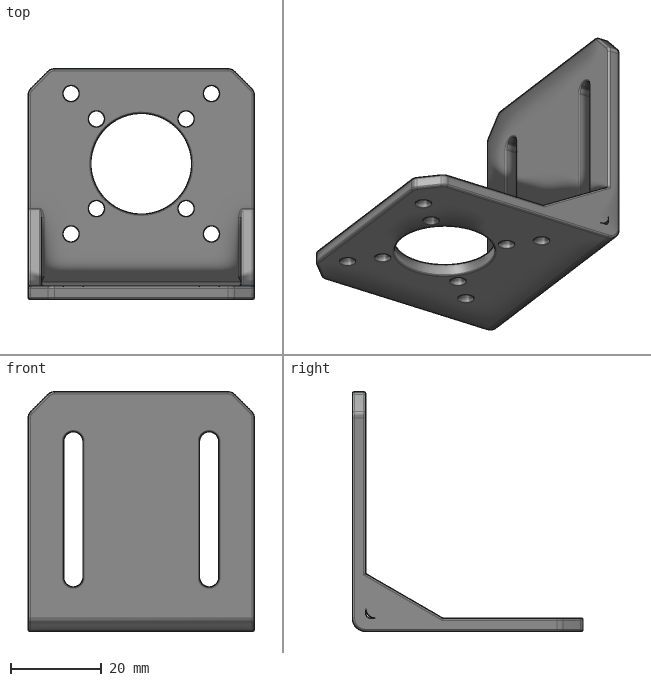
import cadquery as cq
import math

WIDTH = 50.0
DEPTH = 51.0
HEIGHT = 53.0
SHEET = 3.0

BEND_INNER_RADIUS = 1.0
BEND_OUTER_RADIUS = SHEET
CORNER_CUT = 5.0
CORNER_RADIUS = 2.0

EDGE_RADIUS = 0.5

GUSSET_THICKNESS = 3.0
GUSSET_LENGTH = 17.0
GUSSET_ANGLE = 30.0
GUSSET_HEIGHT = GUSSET_LENGTH * math.tan(math.radians(GUSSET_ANGLE))
GUSSET_CORNER_RADIUS = 2.0

MOTOR_Y = 30.0
BORE_DIAMETER = 22.2
BORE_RIM_RADIUS = 0.3
SCREW_DIAMETER = 3.5
SCREW_RIM_RADIUS = 0.1
BOLT_CIRCLE_DIAMETER = 28.0
INNER_SCREW_SPACING = BOLT_CIRCLE_DIAMETER / math.sqrt(2)
OUTER_SCREW_SPACING = 31.0

SLOT_SPACING = 30.0
SLOT_WIDTH = 4.2
SLOT_BOTTOM = 9.9
SLOT_TOP = 44.1
SLOT_RIM_RADIUS = 0.3

TOLERANCE = 0.001


def near(a, b):
    """Whether two lengths are equal within the tolerance."""
    return abs(a - b) < TOLERANCE


def select_edges(body, test):
    """The edges of the body whose bounding box passes the test."""
    return body.newObject([edge for edge in body.edges().vals() if test(edge.BoundingBox())])


def bent_sheet():
    """The plain L-shaped sheet, with rounded bend, across the full width."""
    profile = (
        cq.Workplane("YZ", origin=(-WIDTH / 2, 0, 0))
        .polyline([(0, 0), (DEPTH, 0), (DEPTH, SHEET), (SHEET, SHEET), (SHEET, HEIGHT), (0, HEIGHT)])
        .close()
        .extrude(WIDTH)
    )
    outer_bend = cq.selectors.NearestToPointSelector((0, 0, 0))
    inner_bend = cq.selectors.NearestToPointSelector((0, SHEET, SHEET))
    return (
        profile.edges(outer_bend).fillet(BEND_OUTER_RADIUS)
        .edges(inner_bend).fillet(BEND_INNER_RADIUS)
    )


def cut_corners(body):
    """Cut the free corners of both plates at 45 degrees and round the points left."""
    def is_corner(box):
        base_corner = near(box.ymin, DEPTH) and near(box.zmin, 0)
        wall_corner = near(box.zmin, HEIGHT) and near(box.ymin, 0)
        return near(box.xmin, box.xmax) and (base_corner or wall_corner)

    def is_cut_point(box):
        near_tip = DEPTH - CORNER_CUT - TOLERANCE
        across_base = box.ymin > near_tip and near(box.zmax - box.zmin, SHEET)
        near_top = HEIGHT - CORNER_CUT - TOLERANCE
        across_wall = box.zmin > near_top and near(box.ymax - box.ymin, SHEET)
        return across_base or across_wall

    body = select_edges(body, is_corner).chamfer(CORNER_CUT)
    return select_edges(body, is_cut_point).fillet(CORNER_RADIUS)


def add_gussets(body):
    """Add a triangular rib flush with each side of the sheet."""
    sunk = SHEET / 2
    tip_y = SHEET + GUSSET_LENGTH
    tip_z = SHEET + GUSSET_HEIGHT
    outline = [(sunk, sunk), (tip_y, sunk), (tip_y, SHEET), (SHEET, tip_z), (sunk, tip_z)]
    for start in (-WIDTH / 2, WIDTH / 2 - GUSSET_THICKNESS):
        rib = cq.Workplane("YZ", origin=(start, 0, 0)).polyline(outline).close().extrude(GUSSET_THICKNESS)
        body = body.union(rib)
    return body


def round_edges(body):
    """Round the outline of both plates, the gusset slopes and the foot of each gusset."""
    tip_y = SHEET + GUSSET_LENGTH
    tip_z = SHEET + GUSSET_HEIGHT

    def is_outer_outline(box):
        spans_width = near(box.xmax - box.xmin, WIDTH)
        return (near(box.zmax, 0) or near(box.ymax, 0)) and not spans_width

    def is_outer_bend(box):
        return near(box.ymin, 0) and near(box.zmin, 0) and near(box.xmin, box.xmax)

    def is_inner_outline(box):
        on_base = near(box.zmin, SHEET) and near(box.zmax, SHEET) and box.ymax > tip_y + TOLERANCE
        on_wall = near(box.ymin, SHEET) and near(box.ymax, SHEET) and box.zmax > tip_z + TOLERANCE
        return on_base or on_wall

    def is_slope(box):
        return near(box.ymin, SHEET) and near(box.ymax, tip_y) and near(box.zmax, tip_z)

    def is_exposed(box):
        return is_outer_outline(box) or is_outer_bend(box) or is_inner_outline(box) or is_slope(box)

    def is_gusset_foot(box):
        on_inner_face = near(abs(box.xmin), WIDTH / 2 - GUSSET_THICKNESS) and near(box.xmin, box.xmax)
        return on_inner_face and near(box.zmin, SHEET) and near(box.zmax, SHEET)

    body = select_edges(body, is_exposed).fillet(EDGE_RADIUS)
    return select_edges(body, is_gusset_foot).fillet(EDGE_RADIUS)


def gusset_gap():
    """The sliver left open between the bend and the rounded inner corner of each gusset."""
    def arc_middle(radius):
        return SHEET + radius * (1 - math.sqrt(0.5))

    bend_end = SHEET + BEND_INNER_RADIUS
    corner_end = SHEET + GUSSET_CORNER_RADIUS
    bend_middle = arc_middle(BEND_INNER_RADIUS)
    corner_middle = arc_middle(GUSSET_CORNER_RADIUS)
    return (
        cq.Workplane("YZ", origin=(-WIDTH / 2, 0, 0))
        .moveTo(corner_end, SHEET)
        .lineTo(bend_end, SHEET)
        .threePointArc((bend_middle, bend_middle), (SHEET, bend_end))
        .lineTo(SHEET, corner_end)
        .threePointArc((corner_middle, corner_middle), (corner_end, SHEET))
        .close()
        .extrude(WIDTH)
    )


def cut_base_holes(body, centres, diameter, rim_radius):
    """Cut round holes through the base and round both rims of each."""
    holes = cq.Workplane("XY").pushPoints(centres).circle(diameter / 2).extrude(SHEET)

    def is_hole_rim(box):
        in_face = near(box.zmin, box.zmax) and (near(box.zmin, 0) or near(box.zmin, SHEET))
        return in_face and near(box.xmax - box.xmin, diameter) and near(box.ymax - box.ymin, diameter)

    return select_edges(body.cut(holes), is_hole_rim).fillet(rim_radius)


def square_pattern(spacing):
    """Four points on a square around the motor axis."""
    half = spacing / 2
    return [(x, MOTOR_Y + y) for x in (-half, half) for y in (-half, half)]


def cut_slots(body):
    """Cut the two upright slots through the wall and round their rims."""
    length = SLOT_TOP - SLOT_BOTTOM
    slots = (
        cq.Workplane("XZ", origin=(0, 0, (SLOT_TOP + SLOT_BOTTOM) / 2))
        .pushPoints([(-SLOT_SPACING / 2, 0), (SLOT_SPACING / 2, 0)])
        .slot2D(length, SLOT_WIDTH, 90)
        .extrude(-SHEET)
    )

    def is_slot_rim(box):
        in_face = near(box.ymin, box.ymax) and (near(box.ymin, 0) or near(box.ymin, SHEET))
        offset = abs(abs(box.xmin + box.xmax) / 2 - SLOT_SPACING / 2)
        inside_width = offset < SLOT_WIDTH / 2 + TOLERANCE
        inside_length = box.zmin > SLOT_BOTTOM - TOLERANCE and box.zmax < SLOT_TOP + TOLERANCE
        return in_face and inside_width and inside_length

    return select_edges(body.cut(slots), is_slot_rim).fillet(SLOT_RIM_RADIUS)


body = round_edges(add_gussets(cut_corners(bent_sheet())))
body = cut_slots(body)
body = body.cut(gusset_gap())
body = cut_base_holes(body, [(0, MOTOR_Y)], BORE_DIAMETER, BORE_RIM_RADIUS)
for spacing in (INNER_SCREW_SPACING, OUTER_SCREW_SPACING):
    body = cut_base_holes(body, square_pattern(spacing), SCREW_DIAMETER, SCREW_RIM_RADIUS)
result = body